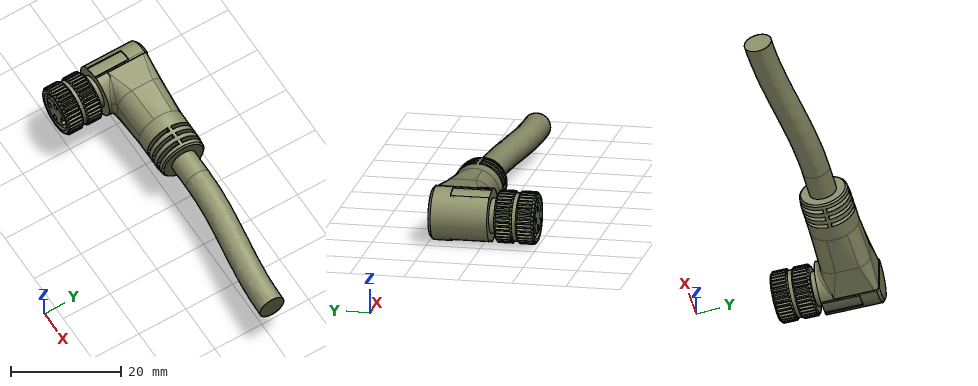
import cadquery as cq
import math


head_radius = 5.0
head_back = 5.05
head_front = -5.95
head_back_chamfer = 0.55
head_lip = 0.35

label_left = -2.75
label_back = 1.2
label_depth = 0.25

body_start = 0.2
body_back = 4.95
body_half_height = 4.9
body_flat_back = 4.15
body_flat_front = -3.55
body_flat_height = 4.25

shoulder_x = 5.85
shoulder_back = 4.75
shoulder_flat_back = 2.75
shoulder_flat_front = -1.7
shoulder_flat_height = 1.5

boot_start = 13.05
boot_split_back = 2.45
boot_split_front = -1.45
boot_split_height = 1.35

boot_radius = 4.7
boot_end = 20.95
boot_taper_length = 1.8
boot_end_radius = 4.5
boot_end_chamfer = 0.3
groove_floor_radius = 3.3
groove_width = 0.75
groove_pitch = 1.65
groove_first = 15.95
groove_count = 3
rib_width = 0.7

cable_radius = 2.55
cable_bend_start = 25.8
cable_end = 60.9 - head_radius
cable_drop = 2.8

neck_radius = 3.2
nut_radius = 4.8
nut_back = -7.1
nut_front = -14.45
nut_chamfer = 0.4
nut_bore_radius = 3.4
nut_bore_depth = 3.65
nut_bore_chamfer = 0.35
waist_radius = 4.45
waist_back = -10.4
waist_front = -11.15
knurl_count = 36
knurl_width = 0.6
knurl_depth = 0.3

insert_radius = 2.8
contact_circle_radius = 1.75
contact_hole_radius = 0.55
contact_hole_depth = 2.45
contact_angles = (90, 180, 270)
key_width = 1.45
key_depth = 0.8
key_length = 1.2

blend_radius = 0.75
blend_start = 1.8
blend_margin = 0.1


def revolve_about_y(profile):
    """Solid of revolution about Y from (radius, y) points."""
    return cq.Workplane("XY").polyline(profile).close().revolve(360, (0, 0), (0, 1))


def cylinder_y(radius, back, front):
    """Cylinder on the plug axis between two Y positions."""
    return cq.Workplane("XZ", origin=(0, back, 0)).circle(radius).extrude(back - front)


def cylinder_x(radius, start, end):
    """Cylinder on the boot axis between two X positions."""
    return cq.Workplane("YZ", origin=(start, 0, 0)).circle(radius).extrude(end - start)


def box_between(x_range, y_range, z_range):
    """Box given by its limits along each axis."""
    sizes = [high - low for low, high in (x_range, y_range, z_range)]
    corner = (x_range[0], y_range[0], z_range[0])
    return cq.Workplane("XY").box(*sizes, centered=False).translate(corner)


def label_recess():
    """Shallow curved pockets on the top and bottom of the head, open at its front."""
    ring = cylinder_y(head_radius + label_depth, label_back, head_front).cut(
        cylinder_y(head_radius - label_depth, label_back, head_front)
    )
    window = box_between(
        (label_left, 0), (head_front, label_back), (-2 * head_radius, 2 * head_radius)
    )
    return ring.intersect(window)


def make_head():
    barrel = cylinder_y(head_radius, head_back, head_front)
    barrel = barrel.faces(">Y").edges().chamfer(head_back_chamfer)
    lip = box_between((0, head_lip), (head_front, head_back), (-head_radius, head_radius))
    lip = lip.edges("|X and >Y").chamfer(head_back_chamfer)
    body_space = box_between(
        (head_lip, 2 * head_radius), (body_flat_front, head_back), (-head_radius, head_radius)
    )
    head = barrel.cut(body_space).union(lip)
    return head.cut(label_recess())


def section_wire(x, back, front, half_height, flat_back, flat_front, flat_height):
    """Closed outline across the boot axis: four flats joined by corner arcs."""
    bulge = math.sqrt(0.5)

    def corner_middle(y_flat, y_side, z_side):
        y = y_flat + (y_side - y_flat) * bulge
        z = math.copysign(flat_height + (half_height - flat_height) * bulge, z_side)
        return (y, z)

    return (
        cq.Workplane("YZ", origin=(x, 0, 0))
        .moveTo(flat_front, half_height)
        .lineTo(flat_back, half_height)
        .threePointArc(corner_middle(flat_back, back, 1), (back, flat_height))
        .lineTo(back, -flat_height)
        .threePointArc(corner_middle(flat_back, back, -1), (flat_back, -half_height))
        .lineTo(flat_front, -half_height)
        .threePointArc(corner_middle(flat_front, front, -1), (front, -flat_height))
        .lineTo(front, flat_height)
        .threePointArc(corner_middle(flat_front, front, 1), (flat_front, half_height))
        .close()
        .val()
    )


def round_wire(x, flat_back, flat_front, flat_height):
    """Boot circle split into the same eight stretches as a section with flats."""

    def angle_at(y, sign):
        return math.atan2(sign * math.sqrt(boot_radius**2 - y**2), y)

    side_angle = math.asin(flat_height / boot_radius)
    angles = [
        angle_at(flat_front, 1),
        angle_at(flat_back, 1),
        side_angle,
        -side_angle,
        angle_at(flat_back, -1),
        angle_at(flat_front, -1),
        side_angle - math.pi,
        -side_angle - math.pi,
        angle_at(flat_front, 1) - 2 * math.pi,
    ]

    def point(angle):
        return (boot_radius * math.cos(angle), boot_radius * math.sin(angle))

    outline = cq.Workplane("YZ", origin=(x, 0, 0)).moveTo(*point(angles[0]))
    for start, end in zip(angles, angles[1:]):
        outline = outline.threePointArc(point((start + end) / 2), point(end))
    return outline.close().val()


def make_body():
    """Squarish tapered body that turns round where it meets the boot."""
    near_head = section_wire(
        body_start, body_back, -boot_radius, body_half_height,
        body_flat_back, body_flat_front, body_flat_height,
    )
    shoulder = section_wire(
        shoulder_x, shoulder_back, -boot_radius, boot_radius,
        shoulder_flat_back, shoulder_flat_front, shoulder_flat_height,
    )
    near_boot = round_wire(boot_start, boot_split_back, boot_split_front, boot_split_height)
    taper = cq.Solid.makeLoft([near_head, shoulder], True)
    rounding = cq.Solid.makeLoft([shoulder, near_boot], True)
    return cq.Workplane(taper).union(cq.Workplane(rounding))


def make_elbow():
    """Head and body joined, with the inside corner between them filleted."""
    elbow = make_head().union(make_body())
    corner = cq.selectors.BoxSelector(
        (blend_start, -boot_radius - blend_margin, -head_radius),
        (shoulder_x, body_flat_front - blend_margin, head_radius),
    )
    return elbow.edges(corner).fillet(blend_radius)


def make_boot():
    boot = (
        cq.Workplane("XY")
        .polyline([
            (boot_start, 0),
            (boot_start, boot_radius),
            (boot_end - boot_taper_length, boot_radius),
            (boot_end - boot_end_chamfer, boot_end_radius),
            (boot_end, boot_end_radius - boot_end_chamfer),
            (boot_end, 0),
        ])
        .close()
        .revolve(360, (0, 0), (1, 0))
    )
    reach = 2 * boot_radius
    half_rib = rib_width / 2
    for index in range(groove_count):
        start = groove_first + index * groove_pitch
        end = start + groove_width
        groove = cylinder_x(reach, start, end).cut(cylinder_x(groove_floor_radius, start, end))
        groove = groove.cut(box_between((start, end), (-reach, reach), (-half_rib, half_rib)))
        groove = groove.cut(box_between((start, end), (-half_rib, half_rib), (-reach, reach)))
        boot = boot.cut(groove)
    return boot


def make_cable():
    """Straight stub followed by a gentle S-bend towards -Y."""
    stub = cylinder_x(cable_radius, boot_end, cable_bend_start)
    path = cq.Workplane("XY").spline(
        [(cable_bend_start, 0), (cable_end, -cable_drop)],
        tangents=[(1, 0), (1, 0)],
    )
    bend = cq.Workplane("YZ", origin=(cable_bend_start, 0, 0)).circle(cable_radius).sweep(path)
    return stub.union(bend)


def make_nut():
    """Coupling nut: two knurled bands with a plain waist between them."""
    edge_radius = nut_radius - nut_chamfer
    waist_step = nut_radius - waist_radius
    nut = revolve_about_y([
        (0, nut_back),
        (edge_radius, nut_back),
        (nut_radius, nut_back - nut_chamfer),
        (nut_radius, waist_back + waist_step),
        (waist_radius, waist_back),
        (waist_radius, waist_front),
        (nut_radius, waist_front - waist_step),
        (nut_radius, nut_front + nut_chamfer),
        (edge_radius, nut_front),
        (0, nut_front),
    ])
    cutter = (
        cq.Workplane("XZ", origin=(0, nut_back, 0))
        .polyline([
            (nut_radius - knurl_depth, 0),
            (nut_radius + knurl_depth, knurl_width),
            (nut_radius + knurl_depth, -knurl_width),
        ])
        .close()
        .extrude(nut_back - nut_front)
    )
    cutters = cq.Workplane("XY")
    for index in range(knurl_count):
        turned = cutter.rotate((0, 0, 0), (0, 1, 0), index * 360 / knurl_count)
        cutters = cutters.add(turned.vals())
    nut = nut.cut(cq.Workplane(cq.Compound.makeCompound(cutters.vals())))
    bore = revolve_about_y([
        (0, nut_front + nut_bore_depth),
        (nut_bore_radius, nut_front + nut_bore_depth),
        (nut_bore_radius, nut_front + nut_bore_chamfer),
        (nut_bore_radius + nut_bore_chamfer, nut_front),
        (0, nut_front),
    ])
    return nut.cut(bore)


def make_insert():
    """Round insert with three contact holes and a key slot on its +X side."""
    face = nut_front
    insert = cylinder_y(insert_radius, nut_front + nut_bore_depth, face)
    for angle in contact_angles:
        x = contact_circle_radius * math.cos(math.radians(angle))
        z = contact_circle_radius * math.sin(math.radians(angle))
        hole = cylinder_y(contact_hole_radius, face + contact_hole_depth, face)
        insert = insert.cut(hole.translate((x, 0, z)))
    key_slot = box_between(
        (insert_radius - key_depth, insert_radius),
        (face, face + key_length),
        (-key_width / 2, key_width / 2),
    )
    return insert.cut(key_slot)


neck = cylinder_y(neck_radius, head_front, nut_back)

result = make_elbow()
pieces = (make_boot(), make_cable(), neck, make_nut(), make_insert())
for piece in pieces:
    result = result.union(piece)